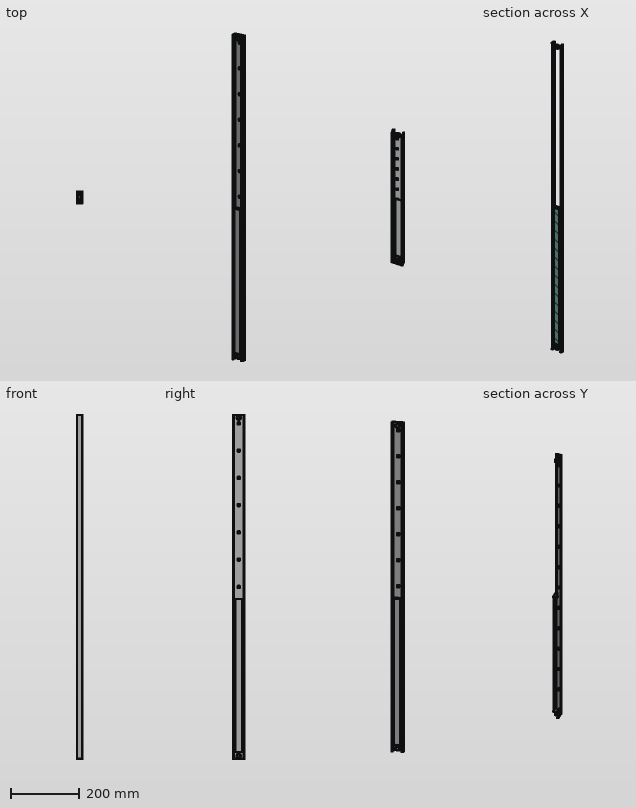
import cadquery as cq
import math

rail_depth = 17.0
rail_width = 35.0
rail_length = 1010.0
web_thickness = 3.0
flange_thickness = 3.5
back_corner_radius = 1.5
tip_corner_radius = 2.5

race_radius = 3.5
race_x = 11.5
race_offset = 12.0

hole_diameter = 6.6
hole_pitch = 80.0
hole_end_distance = 25.0
hole_count = int((rail_length - 2 * hole_end_distance) / hole_pitch) + 1

stop_pin_diameter = 8.5
stop_head_diameter = 12.0
stop_head_length = 8.0
stop_end_distance = 8.5

slider_length = 450.0
slider_bottom = 20.0
slider_back = 6.0
slider_front = 16.0
slider_width = 20.0
cage_thickness = 0.8
cage_back = 4.0
cage_front = 15.0

stop_heights = [stop_end_distance, rail_length - stop_end_distance]
hole_heights = [hole_end_distance + hole_pitch * i for i in range(hole_count)]


def race_half_chord(flat_offset):
    """Half the width of a raceway where it meets a flat at this distance from the centre plane."""
    return math.sqrt(race_radius**2 - (flat_offset - race_offset) ** 2)


def bar(x_min, x_max, width, z_min, length):
    """Rectangular bar along Z, centred on Y."""
    middle = ((x_min + x_max) / 2, 0, z_min)
    return cq.Workplane("XY", origin=middle).rect(x_max - x_min, width).extrude(length)


def cylinder_along_x(x_min, length, diameter, heights):
    """Round pieces along X, one at each height."""
    centres = [(0, z) for z in heights]
    return (
        cq.Workplane("YZ", origin=(x_min, 0, 0))
        .pushPoints(centres)
        .circle(diameter / 2)
        .extrude(length)
    )


def make_rail():
    """C-section rail with raceways, mounting holes and stop pin holes."""
    half_width = rail_width / 2
    inner = half_width - flange_thickness
    half_chord = race_half_chord(inner)
    half_section = (
        cq.Workplane("XY")
        .lineTo(0, half_width - back_corner_radius)
        .radiusArc((back_corner_radius, half_width), back_corner_radius)
        .lineTo(rail_depth - tip_corner_radius, half_width)
        .radiusArc((rail_depth, half_width - tip_corner_radius), tip_corner_radius)
        .lineTo(rail_depth, inner)
        .lineTo(race_x + half_chord, inner)
        .threePointArc((race_x, race_offset + race_radius), (race_x - half_chord, inner))
        .lineTo(web_thickness, inner)
        .lineTo(web_thickness, 0)
        .close()
    )
    half = half_section.extrude(rail_length)
    rail = half.union(half.mirror("XZ"))
    rail = rail.cut(cylinder_along_x(0, web_thickness, hole_diameter, hole_heights))
    return rail.cut(cylinder_along_x(0, web_thickness, stop_pin_diameter, stop_heights))


def make_end_stop(height):
    """Pin flush with the back of the rail, with its head against the inside of the web."""
    pin = cylinder_along_x(0, web_thickness, stop_pin_diameter, [height])
    head = cylinder_along_x(web_thickness, stop_head_length, stop_head_diameter, [height])
    return pin.union(head)


def make_slider():
    """Bar running in the rail, with a raceway groove along each side."""
    slider = bar(slider_back, slider_front, slider_width, slider_bottom, slider_length)
    grooves = (
        cq.Workplane("XY", origin=(race_x, 0, slider_bottom))
        .pushPoints([(0, race_offset), (0, -race_offset)])
        .circle(race_radius)
        .extrude(slider_length)
    )
    return slider.cut(grooves)


def make_ball_cage():
    """U-shaped strip whose legs run between the slider and the rail flanges."""
    outer_width = 2 * race_offset + cage_thickness
    inner_width = outer_width - 2 * cage_thickness
    outer = bar(cage_back, cage_front, outer_width, slider_bottom, slider_length)
    inner = bar(cage_back + cage_thickness, cage_front, inner_width, slider_bottom, slider_length)
    return outer.cut(inner)


rail = make_rail()
end_stops = [make_end_stop(height) for height in stop_heights]
slider = make_slider()
ball_cage = make_ball_cage()

result = cq.Compound.makeCompound(
    [rail.val(), *[stop.val() for stop in end_stops], slider.val(), ball_cage.val()]
)